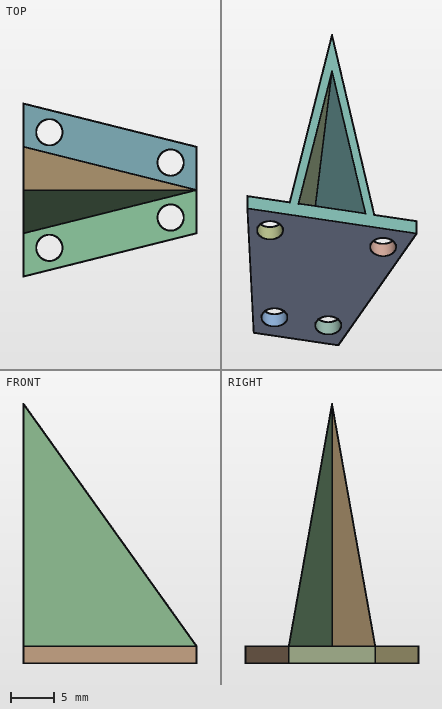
import cadquery as cq
import math

LENGTH = 20.0
BASE_WIDTH_OPEN = 20.0
BASE_WIDTH_TIP = 10.0
BASE_THICKNESS = 2.0

TOTAL_HEIGHT = 30.0
FIN_HEIGHT = TOTAL_HEIGHT - BASE_THICKNESS
FIN_HALF_WIDTH = 5.0
FIN_WALL = 1.0

HOLE_DIAMETER = 3.0
HOLE_END_DISTANCE = 3.0
HOLE_EDGE_DISTANCE = 2.5


def make_base():
    """Trapezoidal plate resting on z = 0."""
    half_open = BASE_WIDTH_OPEN / 2
    half_tip = BASE_WIDTH_TIP / 2
    outline = [(0, -half_open), (LENGTH, -half_tip), (LENGTH, half_tip), (0, half_open)]
    return cq.Workplane("XY").polyline(outline).close().extrude(BASE_THICKNESS)


def make_tetrahedron(length, half_width, height):
    """Half pyramid on the plate's top face, with its upright triangle at x = 0."""
    left = cq.Vector(0, half_width, BASE_THICKNESS)
    right = cq.Vector(0, -half_width, BASE_THICKNESS)
    tip = cq.Vector(length, 0, BASE_THICKNESS)
    peak = cq.Vector(0, 0, BASE_THICKNESS + height)
    triangles = [
        (left, right, tip),
        (left, right, peak),
        (left, tip, peak),
        (right, tip, peak),
    ]
    faces = [cq.Face.makeFromWires(cq.Wire.makePolygon(corners, close=True)) for corners in triangles]
    return cq.Workplane(obj=cq.Solid.makeSolid(cq.Shell.makeShell(faces)))


def make_fin():
    """Fin of even wall thickness: a tetrahedron less a smaller, parallel-sided one."""
    outer = make_tetrahedron(LENGTH, FIN_HALF_WIDTH, FIN_HEIGHT)
    face_distance = 1 / math.hypot(1 / LENGTH, 1 / FIN_HALF_WIDTH, 1 / FIN_HEIGHT)
    scale = 1 - FIN_WALL / face_distance
    cavity = make_tetrahedron(LENGTH * scale, FIN_HALF_WIDTH * scale, FIN_HEIGHT * scale)
    return outer.cut(cavity)


def hole_centers():
    """Hole positions along lines parallel to the two slanted plate edges."""
    slope = (BASE_WIDTH_OPEN - BASE_WIDTH_TIP) / 2 / LENGTH
    edge_offset_y = HOLE_EDGE_DISTANCE * math.hypot(1, slope)
    centers = []
    for x in (HOLE_END_DISTANCE, LENGTH - HOLE_END_DISTANCE):
        y = BASE_WIDTH_OPEN / 2 - slope * x - edge_offset_y
        centers += [(x, y), (x, -y)]
    return centers


def make_holes():
    """Cylinders that pass through the plate."""
    return cq.Workplane("XY").pushPoints(hole_centers()).circle(HOLE_DIAMETER / 2).extrude(BASE_THICKNESS)


result = make_base().cut(make_holes()).union(make_fin())